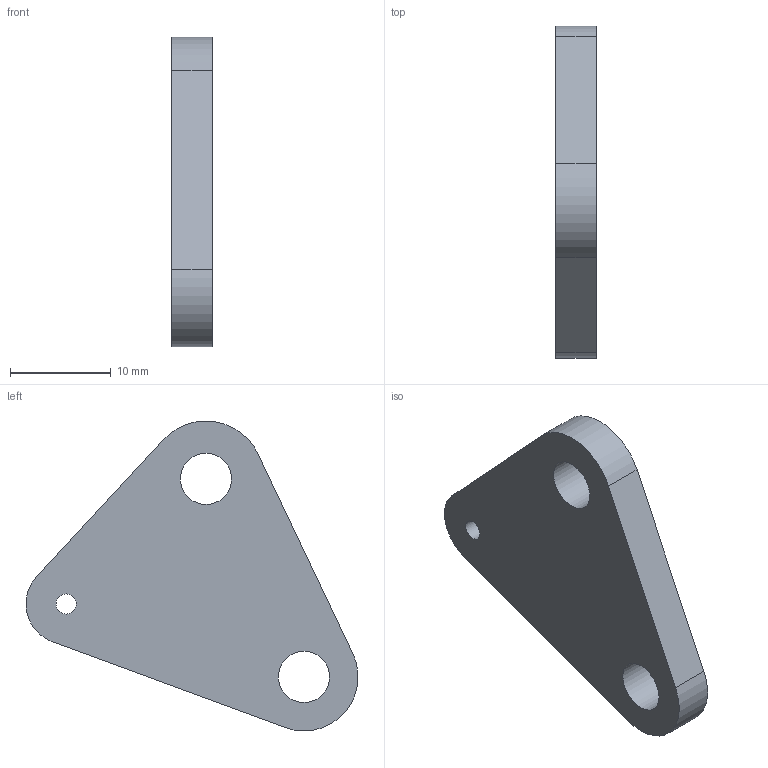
import cadquery as cq
import math

thickness = 4.0

pivot_hole_diameter = 5.1
pin_hole_diameter = 2.0

upper_radius = 5.75
lower_radius = 5.38
pin_radius = 4.0

upper_offset_y = 9.75
upper_offset_z = 19.70
pin_offset_y = 23.66
pin_offset_z = 7.25

lower_lobe = ((0.0, 0.0), lower_radius, pivot_hole_diameter)
pin_lobe = ((pin_offset_y, pin_offset_z), pin_radius, pin_hole_diameter)
upper_lobe = ((upper_offset_y, upper_offset_z), upper_radius, pivot_hole_diameter)
lobes = [lower_lobe, pin_lobe, upper_lobe]


def point_on_lobe(lobe, angle):
    """Point on the outer arc of a lobe at the given angle."""
    (y, z), radius, _ = lobe
    return (y + radius * math.cos(angle), z + radius * math.sin(angle))


def tangent_angle(lobe, next_lobe):
    """Angle of the outward normal of the straight edge touching two successive lobes."""
    (y, z), radius, _ = lobe
    (next_y, next_z), next_radius, _ = next_lobe
    center_distance = math.hypot(next_y - y, next_z - z)
    heading = math.atan2(next_z - z, next_y - y)
    return heading - math.acos((radius - next_radius) / center_distance)


def make_plate():
    """Outline of lobe arcs joined by common tangents, extruded along X."""
    count = len(lobes)
    edge_angles = [tangent_angle(lobes[i], lobes[(i + 1) % count]) for i in range(count)]
    outline = cq.Workplane("YZ").moveTo(*point_on_lobe(lobes[-1], edge_angles[-1]))
    for i, lobe in enumerate(lobes):
        start_angle = edge_angles[i - 1]
        sweep = (edge_angles[i] - start_angle) % (2 * math.pi)
        outline = outline.lineTo(*point_on_lobe(lobe, start_angle))
        outline = outline.threePointArc(
            point_on_lobe(lobe, start_angle + sweep / 2),
            point_on_lobe(lobe, start_angle + sweep),
        )
    return outline.close().extrude(thickness)


def cut_holes(plate):
    """Cut the through hole at the centre of each lobe."""
    for center, _, hole_diameter in lobes:
        hole = cq.Workplane("YZ").center(*center).circle(hole_diameter / 2).extrude(thickness)
        plate = plate.cut(hole)
    return plate


result = cut_holes(make_plate())